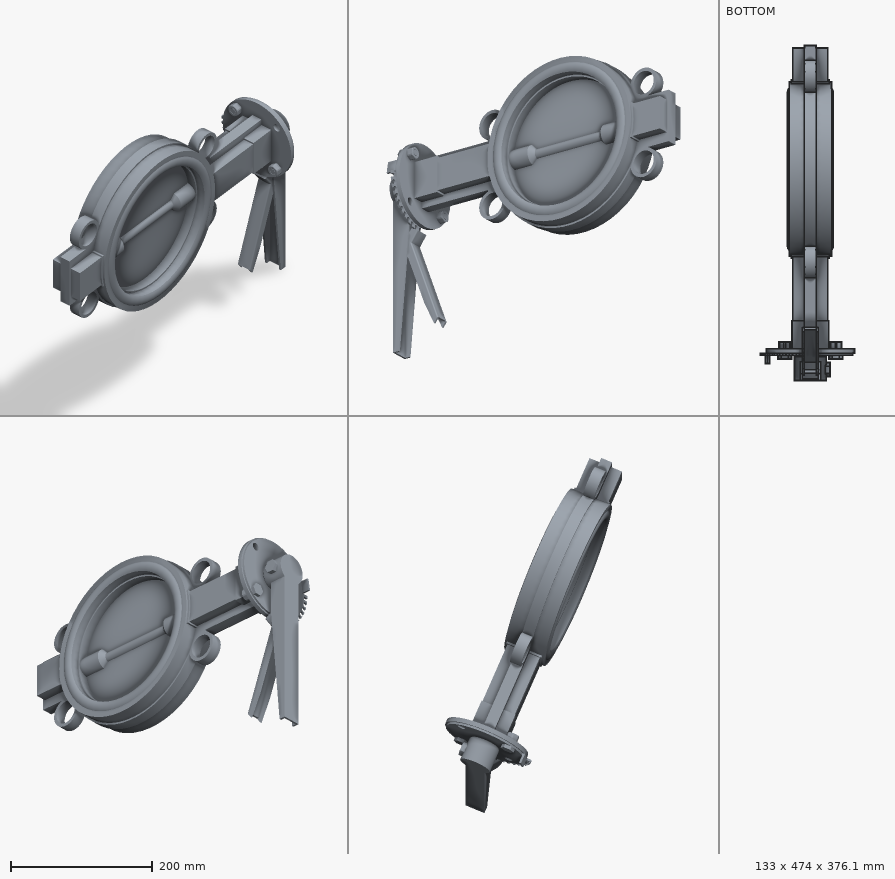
import cadquery as cq
import math


ring_diameter = 247.0
ring_width = 60.0
rib_diameter = 252.5
rib_width = 16.5
seat_bore_diameter = 230.0

web_end_y = -175.0
wide_web_end_y = 139.0
wide_web_height = 79.0
neck_height = 75.0
pad_end_y = web_end_y + 3.5
pad_size = 49.8
collar_start_y = 214.0
collar_width = 52.0
collar_height = 55.5
root_size = 54.0

lug_diameter = 45.0
lug_hole_diameter = 35.0
lug_y = 131.5
lug_z = 61.0
lug_web_height = 90.0

flange_diameter = 125.0
flange_y = 253.5
flange_thickness = 6.5
bolt_circle_radius = 51.0
bolt_hole_diameter = 12.0
bolt_diameter = 8.5
head_flats = 17.0
head_height = 5.0
nut_flats = 16.5
nut_corner_diameter = 18.0
nut_height = 9.5
nut_chamfer = 1.0
nut_bore_chamfer = 0.7
bolt_hole_angles = [45, 135, 225, 315]
bolted_angles = [135, 315]

seat_lip_diameter = 229.0
seat_bore = 200.0
seat_bulge = 2.5
disc_diameter = 195.0
disc_land_width = 34.0
disc_thickness = 5.5
disc_rod_diameter = 16.0
disc_boss_diameter = 31.5
disc_near_boss_y = 65.0
disc_far_boss_y = 62.0
disc_cone_length = 7.5

sheet = 3.1
plate_y = flange_y + flange_thickness
plate_radius = 60.0
tooth_radius = 70.5
quadrant_top_z = 2.0
notch_root_radius = 64.0
slot_width = 5.0
notch_diameter = 7.5
notch_pitch = 8.4
first_notch_angle = 184.2
notch_count = 11
stop_angle = 169
stop_width = 18.0
stop_top_y = 275.0

hub_diameter = 45.5
hub_base_y = plate_y + sheet
hub_chamfer = 2.0
lever_top_y = 299.0
lever_width = 29.0
lever_tip_z = -249.8
lever_bend_z = -61.5
lever_low_y = 272.0
lever_tip_depth = 10.0
clamp_head_flats = 17.5
clamp_head_y = 283.5
clamp_head_end_x = 28.0
pivot_y = 286.3
pivot_z = -89.0
pivot_diameter = 5.0

trigger_width = 22.7
trigger_bend_radius = 2.0

trigger_heel = (230.0, -220.5)
trigger_tip = (223.5, -212.0)
trigger_elbow = (269.5, -86.5)
trigger_tooth = (258.5, -70.5)
trigger_top = (268.2, -64.5)
trigger_eye_upper = (282.5, -81.5)
trigger_eye_crown = (291.5, -89.0)
trigger_eye_lower = (282.5, -95.5)
trigger_throat = (275.5, -107.5)
trigger_waist = (246.5, -186.3)


def box(x_range, y_range, z_range):
    """Axis-aligned block between pairs of limits."""
    (x0, x1), (y0, y1), (z0, z1) = x_range, y_range, z_range
    return cq.Workplane("XY").box(x1 - x0, y1 - y0, z1 - z0, centered=False).translate((x0, y0, z0))


def centered_bar(width_x, y_range, height_z):
    """Block that runs along Y, centred on the stem axis."""
    return box((-width_x / 2, width_x / 2), y_range, (-height_z / 2, height_z / 2))


def x_cylinder(diameter, width, y=0, z=0):
    """Cylinder along X, centred on the X = 0 plane."""
    return cq.Workplane("YZ").center(y, z).circle(diameter / 2).extrude(width / 2, both=True)


def y_cylinder(diameter, y0, y1, x=0, z=0):
    """Cylinder along Y between two Y positions."""
    return cq.Workplane("XZ", origin=(x, y0, z)).circle(diameter / 2).extrude(y0 - y1)


def y_hexagon(flats, y0, y1, x, z, turn=0):
    """Hexagonal prism along Y; with no turn, two flats face up and down."""
    corners = flats / math.cos(math.pi / 6)
    hexagon = cq.Workplane("XZ").polygon(6, corners).extrude(y0 - y1)
    return hexagon.rotate((0, 0, 0), (0, 1, 0), turn).translate((x, y0, z))


def bolt_place(angle):
    """X and Z of a place on the bolt circle."""
    turn = math.radians(angle)
    return bolt_circle_radius * math.cos(turn), bolt_circle_radius * math.sin(turn)


def make_body():
    ring = x_cylinder(ring_diameter, ring_width)
    rib = x_cylinder(rib_diameter, rib_width)
    wide_web = centered_bar(rib_width, (web_end_y, wide_web_end_y), wide_web_height)
    neck_web = centered_bar(rib_width, (0, flange_y), neck_height)
    pads = centered_bar(pad_size, (pad_end_y, flange_y), pad_size)
    collar = centered_bar(collar_width, (collar_start_y, flange_y), collar_height)
    roots = x_cylinder(rib_diameter, root_size).intersect(
        centered_bar(root_size, (-rib_diameter, rib_diameter), root_size)
    )
    flange = y_cylinder(flange_diameter, flange_y, plate_y)
    lug_web = centered_bar(rib_width, (-lug_y, lug_y), lug_web_height)
    body = ring
    for piece in [rib, wide_web, neck_web, pads, collar, roots, flange, lug_web]:
        body = body.union(piece)

    lug_places = [(y, z) for y in (-lug_y, lug_y) for z in (-lug_z, lug_z)]
    for y, z in lug_places:
        body = body.union(x_cylinder(lug_diameter, rib_width, y, z))
    for y, z in lug_places:
        body = body.cut(x_cylinder(lug_hole_diameter, rib_width, y, z))
    for angle in bolt_hole_angles:
        x, z = bolt_place(angle)
        body = body.cut(y_cylinder(bolt_hole_diameter, flange_y, plate_y, x, z))
    return body.cut(x_cylinder(seat_bore_diameter, ring_width))


def make_seat():
    """Ring of revolution with bulged faces and a narrower land in the middle of its bore."""
    outer = seat_bore_diameter / 2
    lip = seat_lip_diameter / 2
    bore = seat_bore / 2
    land = disc_diameter / 2
    face = ring_width / 2
    step = disc_land_width / 2
    crown = face + seat_bulge
    middle = (lip + bore) / 2
    profile = (
        cq.Workplane("XY")
        .moveTo(-face, outer)
        .lineTo(face, outer)
        .lineTo(face, lip)
        .threePointArc((crown, middle), (face, bore))
        .lineTo(step, bore)
        .lineTo(step, land)
        .lineTo(-step, land)
        .lineTo(-step, bore)
        .lineTo(-face, bore)
        .threePointArc((-crown, middle), (-face, lip))
        .close()
    )
    return profile.revolve(360, (0, 0, 0), (1, 0, 0))


def make_half_axle(boss_inner_y):
    """Rod from the disc centre along +Y that swells into a boss."""
    reach = disc_diameter / 2
    rod_radius = disc_rod_diameter / 2
    boss_radius = disc_boss_diameter / 2
    return (
        cq.Workplane("XY")
        .polyline([
            (0, 0),
            (rod_radius, 0),
            (rod_radius, boss_inner_y - disc_cone_length),
            (boss_radius, boss_inner_y),
            (boss_radius, reach),
            (0, reach),
        ])
        .close()
        .revolve(360, (0, 0, 0), (0, 1, 0))
    )


def make_disc():
    """Thin disc with a rod across it that has a boss at each end, trimmed to the disc's rim."""
    near_axle = make_half_axle(disc_near_boss_y)
    far_axle = make_half_axle(disc_far_boss_y).mirror("XZ")
    axle = near_axle.union(far_axle).intersect(x_cylinder(disc_diameter, disc_boss_diameter))
    return x_cylinder(disc_diameter, disc_thickness).union(axle)


def make_bolt(angle):
    x, z = bolt_place(angle)
    shank = y_cylinder(bolt_diameter, flange_y - nut_height, hub_base_y, x, z)
    return shank.union(y_hexagon(head_flats, hub_base_y, hub_base_y + head_height, x, z))


def make_nut(angle):
    """Hexagon nut with rounded-off corners and a chamfered bore."""
    x, z = bolt_place(angle)
    low_y = flange_y - nut_height
    bore_radius = bolt_diameter / 2
    entry_radius = bore_radius + nut_bore_chamfer
    turned = y_cylinder(nut_corner_diameter, low_y, flange_y, x, z).faces("<Y").chamfer(nut_chamfer)
    bore = y_cylinder(bolt_diameter, low_y, flange_y, x, z)
    entry = cq.Workplane(cq.Solid.makeCone(
        entry_radius, bore_radius, nut_bore_chamfer, cq.Vector(x, low_y, z), cq.Vector(0, 1, 0)
    ))
    return y_hexagon(nut_flats, low_y, flange_y, x, z, turn=30).intersect(turned).cut(bore).cut(entry)


def make_notch_plate(trigger_envelope):
    """Round plate with a notched quadrant, an upturned stop and a recess for the trigger."""
    plate = y_cylinder(2 * plate_radius, plate_y, hub_base_y)
    quadrant = y_cylinder(2 * tooth_radius, plate_y, hub_base_y).intersect(
        box((-tooth_radius, 0), (plate_y, hub_base_y), (-tooth_radius, quadrant_top_z))
    )
    plate = plate.union(quadrant)
    slot = box(
        (notch_root_radius, tooth_radius + slot_width),
        (plate_y, hub_base_y),
        (-slot_width / 2, slot_width / 2),
    )
    notch_center = notch_root_radius + notch_diameter / 2
    round_notch = y_cylinder(notch_diameter, plate_y, hub_base_y, notch_center)
    for index in range(notch_count):
        notch = slot if index == 0 else round_notch
        plate = plate.cut(turn_about_stem(notch, first_notch_angle + index * notch_pitch))

    stop_span = (-stop_width / 2, stop_width / 2)
    stop_outer = plate_radius + sheet
    stop_base = box((plate_radius - sheet, stop_outer), (plate_y, hub_base_y), stop_span)
    stop_tab = box((plate_radius, stop_outer), (plate_y, stop_top_y), stop_span)
    plate = plate.union(turn_about_stem(stop_base.union(stop_tab), stop_angle))
    for angle in bolt_hole_angles:
        x, z = bolt_place(angle)
        plate = plate.cut(y_cylinder(bolt_hole_diameter, plate_y, hub_base_y, x, z))
    return plate.cut(trigger_envelope)


def turn_about_stem(shape, angle):
    """Turn about Y so that a feature on +X moves toward +Z."""
    return shape.rotate((0, 0, 0), (0, 1, 0), -angle)


def make_lever():
    """Hub with a tapering channel handle, open toward the valve."""
    side = [
        (lever_top_y, 0),
        (lever_top_y, lever_tip_z),
        (lever_top_y - lever_tip_depth, lever_tip_z),
        (lever_low_y, lever_bend_z),
        (lever_low_y, 0),
    ]
    handle = cq.Workplane("YZ").polyline(side).close().extrude(lever_width / 2, both=True)
    inner_width = lever_width - 2 * sheet
    handle = handle.cut(centered_bar(inner_width, (0, lever_top_y - sheet), -2 * lever_tip_z))
    hub = y_cylinder(hub_diameter, hub_base_y, lever_top_y).faces("<Y").chamfer(hub_chamfer)
    clamp_head = (
        cq.Workplane("YZ", origin=(0, clamp_head_y, 0))
        .polygon(6, clamp_head_flats / math.cos(math.pi / 6))
        .extrude(clamp_head_end_x)
    )
    pivot_hole = x_cylinder(pivot_diameter, lever_width, pivot_y, pivot_z)
    return handle.union(hub).union(clamp_head).cut(pivot_hole)


def trigger_blank():
    """Trigger before it is hollowed, with its bends along the web rounded."""
    blank = (
        cq.Workplane("YZ")
        .polyline([trigger_heel, trigger_tip, trigger_elbow, trigger_tooth, trigger_top, trigger_eye_upper])
        .threePointArc(trigger_eye_crown, trigger_eye_lower)
        .lineTo(*trigger_throat)
        .lineTo(*trigger_waist)
        .close()
        .extrude(trigger_width / 2, both=True)
    )
    long_web = nearest_to_middle(trigger_tip, trigger_elbow)
    short_web = nearest_to_middle(trigger_elbow, trigger_tooth)
    return blank.faces(long_web + short_web).edges("not |X").fillet(trigger_bend_radius)


def nearest_to_middle(start, end):
    """Selector for the face midway between two points of the trigger's side profile."""
    return cq.selectors.NearestToPointSelector((0, (start[0] + end[0]) / 2, (start[1] + end[1]) / 2))


def make_trigger():
    """Channel-shaped trigger, open toward the lever, with its pivot pin."""
    inner_width = trigger_width - 2 * sheet
    tip_y, tip_z = trigger_tip
    elbow_y, elbow_z = trigger_elbow
    tooth_y, tooth_z = trigger_tooth
    hollow = (
        cq.Workplane("YZ")
        .polyline([
            (tip_y + sheet, tip_z),
            (elbow_y + sheet, elbow_z),
            (tooth_y + sheet, tooth_z),
            trigger_top,
            (lever_top_y, trigger_top[1]),
            (lever_top_y, lever_tip_z),
            (tip_y, lever_tip_z),
            (tip_y, tip_z),
        ])
        .close()
        .extrude(inner_width / 2, both=True)
    )
    pivot_pin = x_cylinder(pivot_diameter, lever_width, pivot_y, pivot_z)
    return trigger_blank().cut(hollow).union(pivot_pin)


body = make_body()
seat = make_seat()
disc = make_disc()
bolts = [make_bolt(angle) for angle in bolted_angles]
nuts = [make_nut(angle) for angle in bolted_angles]
notch_plate = make_notch_plate(trigger_blank())
lever = make_lever()
trigger = make_trigger()

result = cq.Compound.makeCompound([
    body.val(),
    seat.val(),
    disc.val(),
    notch_plate.val(),
    lever.val(),
    trigger.val(),
    *[bolt.val() for bolt in bolts],
    *[nut.val() for nut in nuts],
])